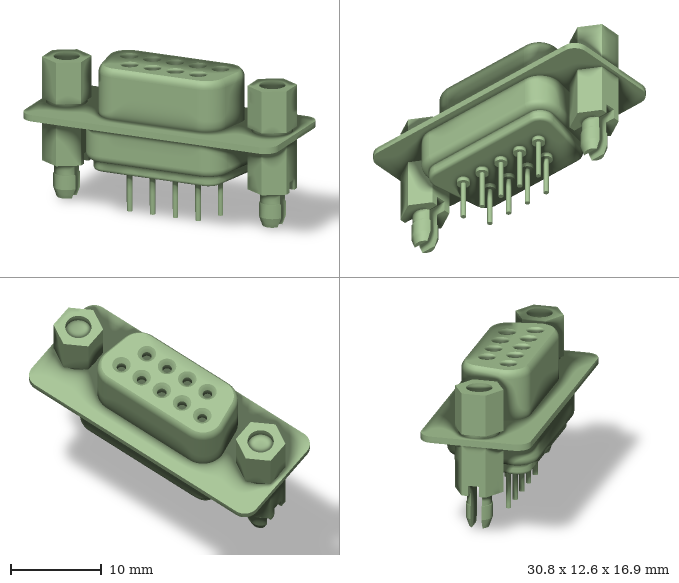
import cadquery as cq
import math


overall_height = 16.9

flange_length = 30.78
flange_width = 12.55
flange_thickness = 0.75
flange_corner_radius = 1.6

side_slant = math.radians(10)
corner_radius = 2.5
plug_half_width = 3.97
plug_front_half_straight = 5.17
plug_top = 5.75
plug_edge_height = 0.9
plug_edge_radius = 1.15
shell_half_width = 5.35
shell_front_half_straight = 6.05
shell_bottom = -4.9
shell_edge_radius = 0.85
insulator_step = 0.83
insulator_bottom = -6.1
insulator_edge_radius = 0.37

contact_pitch = 2.77
row_offset = 1.42
back_row_count = 5
front_row_count = 4
socket_mouth_diameter = 2.03
socket_bore_diameter = 1.05
socket_cone_depth = 0.5
socket_depth = 1.23
pin_diameter = 0.6
pin_bottom = plug_top - overall_height
pin_collar_diameter = 1.45
pin_collar_bottom = -6.6

standoff_offset = 12.5
hex_sides = 6
hex_across_flats = 4.77
hex_top = 5.2
hex_bottom = -6.75
washer_diameter = 4.6
washer_height = 0.4
screw_hole_diameter = 2.9
screw_hole_depth = 0.9
lock_neck_diameter = 2.75
lock_barrel_diameter = 3.0
lock_tip_diameter = 2.22
lock_barrel_top = -8.22
lock_taper_top = -9.82
lock_bottom = -10.93
lock_slot_width = 1.23
lock_slot_top = -5.55


def cylinder(x, y, diameter, bottom, top):
    plane = cq.Workplane("XY", origin=(x, y, bottom))
    return plane.circle(diameter / 2).extrude(top - bottom)


def d_prism(half_width, front_half_straight, radius, bottom, top):
    """Prism with a rounded D outline that is wider at the back (+Y)."""
    center_y = half_width - radius
    front_x = front_half_straight
    back_x = front_x + 2 * center_y * math.tan(side_slant)
    reach_x = radius * math.cos(side_slant)
    drop_y = radius * math.sin(side_slant)
    quarter_turn = math.pi / 2
    front_bulge = -quarter_turn / 2 - side_slant / 2
    back_bulge = quarter_turn / 2 - side_slant / 2

    def on_corner(center_x, y, angle):
        return center_x + radius * math.cos(angle), y + radius * math.sin(angle)

    def mirrored(point):
        return -point[0], point[1]

    front_mid = on_corner(front_x, -center_y, front_bulge)
    front_end = (front_x + reach_x, -center_y - drop_y)
    back_start = (back_x + reach_x, center_y - drop_y)
    back_mid = on_corner(back_x, center_y, back_bulge)
    back_end = (back_x, half_width)
    front_start = (front_x, -half_width)
    outline = (
        cq.Workplane("XY", origin=(0, 0, bottom))
        .moveTo(*mirrored(front_start))
        .lineTo(*front_start)
        .threePointArc(front_mid, front_end)
        .lineTo(*back_start)
        .threePointArc(back_mid, back_end)
        .lineTo(*mirrored(back_end))
        .threePointArc(mirrored(back_mid), mirrored(back_start))
        .lineTo(*mirrored(front_end))
        .threePointArc(mirrored(front_mid), mirrored(front_start))
        .close()
    )
    return outline.extrude(top - bottom)


def flange():
    plate = cq.Workplane("XY", origin=(0, 0, -flange_thickness)).rect(flange_length, flange_width)
    return plate.extrude(flange_thickness).edges("|Z").fillet(flange_corner_radius)


def plug():
    """Mating body whose rounded rim is cut off flat before the arc turns horizontal."""
    full_arc_top = plug_top - plug_edge_height + plug_edge_radius
    body = d_prism(plug_half_width, plug_front_half_straight, corner_radius, -flange_thickness, full_arc_top)
    body = body.faces(">Z").edges().fillet(plug_edge_radius)
    above = cq.Workplane("XY", origin=(0, 0, plug_top)).rect(flange_length, flange_width)
    return body.cut(above.extrude(plug_edge_radius))


def rear_shell():
    body = d_prism(shell_half_width, shell_front_half_straight, corner_radius, shell_bottom, 0)
    return body.faces("<Z").edges().fillet(shell_edge_radius)


def insulator():
    body = d_prism(
        shell_half_width - insulator_step,
        shell_front_half_straight,
        corner_radius - insulator_step,
        insulator_bottom,
        0,
    )
    return body.faces("<Z").edges().fillet(insulator_edge_radius)


def contact_positions():
    rows = [(back_row_count, row_offset), (front_row_count, -row_offset)]
    return [((i - (count - 1) / 2) * contact_pitch, y) for count, y in rows for i in range(count)]


def contact_pin(x, y):
    pin = cylinder(x, y, pin_diameter, pin_bottom, 0)
    return pin.union(cylinder(x, y, pin_collar_diameter, pin_collar_bottom, 0))


def socket(x, y):
    """Countersunk blind bore that receives a mating pin."""
    mouth = (
        cq.Workplane("XY", origin=(x, y, plug_top))
        .circle(socket_mouth_diameter / 2)
        .workplane(offset=-socket_cone_depth)
        .circle(socket_bore_diameter / 2)
        .loft()
    )
    return mouth.union(cylinder(x, y, socket_bore_diameter, plug_top - socket_depth, plug_top))


def hex_post(x, bottom, top):
    half_sector = math.pi / hex_sides
    plane = cq.Workplane("XY", origin=(x, 0, bottom)).transformed(rotate=(0, 0, math.degrees(half_sector)))
    return plane.polygon(hex_sides, hex_across_flats / math.cos(half_sector)).extrude(top - bottom)


def standoff(x):
    upper = hex_post(x, washer_height, hex_top)
    upper = upper.cut(cylinder(x, 0, screw_hole_diameter, hex_top - screw_hole_depth, hex_top))
    washer = cylinder(x, 0, washer_diameter, -flange_thickness, washer_height)
    lower = hex_post(x, hex_bottom, -flange_thickness)
    neck = cylinder(x, 0, lock_neck_diameter, lock_barrel_top, hex_bottom)
    barrel = cylinder(x, 0, lock_barrel_diameter, lock_taper_top, lock_barrel_top)
    tip = (
        cq.Workplane("XY", origin=(x, 0, lock_taper_top))
        .circle(lock_barrel_diameter / 2)
        .workplane(offset=lock_bottom - lock_taper_top)
        .circle(lock_tip_diameter / 2)
        .loft()
    )
    slot = cq.Workplane("XY", origin=(x, 0, lock_bottom)).rect(hex_across_flats, lock_slot_width)
    slot = slot.extrude(lock_slot_top - lock_bottom)
    return upper.union(washer).union(lower).union(neck).union(barrel).union(tip).cut(slot)


result = flange().union(plug()).union(rear_shell()).union(insulator())
for contact_x, contact_y in contact_positions():
    result = result.union(contact_pin(contact_x, contact_y))
    result = result.cut(socket(contact_x, contact_y))
for side in (-1, 1):
    result = result.union(standoff(side * standoff_offset))